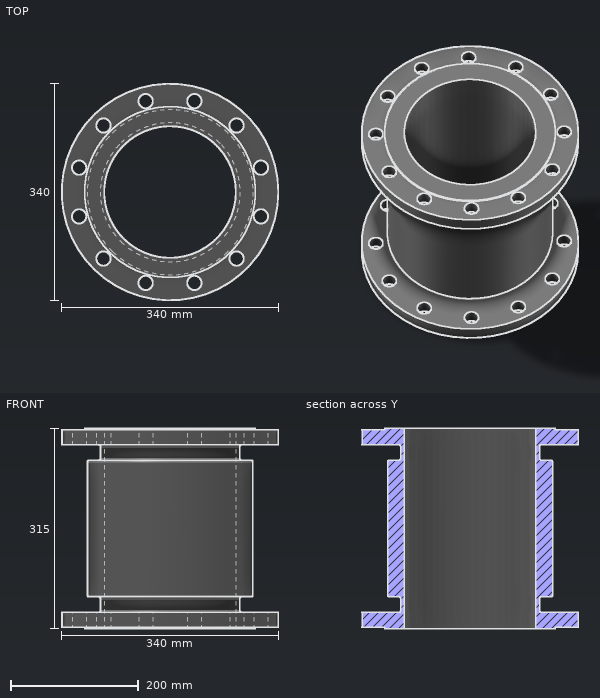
import cadquery as cq

total_length = 315.0
bore_diameter = 206.0

flange_diameter = 340.0
flange_thickness = 23.8
raised_face_diameter = 268.0
raised_face_height = 2.5

bolt_count = 12
bolt_circle_diameter = 295.0
bolt_hole_diameter = 22.0

neck_diameter = 219.0
body_diameter = 259.8
body_length = 214.5
fillet_radius = 2.7

bottom_z = -total_length / 2
lower_flange_z = bottom_z + raised_face_height
neck_z = lower_flange_z + flange_thickness
body_z = -body_length / 2


def cylinder(diameter, bottom, height):
    """Solid cylinder on the Z axis, standing on the level bottom."""
    return cq.Workplane("XY").workplane(offset=bottom).circle(diameter / 2).extrude(height)


def make_lower_flange():
    """Flange disc with its raised sealing face at the bottom end."""
    disc = cylinder(flange_diameter, lower_flange_z, flange_thickness)
    raised_face = cylinder(raised_face_diameter, bottom_z, raised_face_height)
    return disc.union(raised_face)


def make_bolt_holes():
    """Ring of bolt holes through both flanges, set half a pitch off the X axis."""
    half_pitch = 180 / bolt_count
    return (
        cq.Workplane("XY")
        .workplane(offset=bottom_z)
        .polarArray(bolt_circle_diameter / 2, half_pitch, 360, bolt_count)
        .circle(bolt_hole_diameter / 2)
        .extrude(total_length)
    )


body = cylinder(body_diameter, body_z, body_length)
neck = cylinder(neck_diameter, neck_z, -2 * neck_z)
lower_flange = make_lower_flange()
upper_flange = lower_flange.mirror("XY")
solid_spool = body.union(neck).union(lower_flange).union(upper_flange)

neck_edges = cq.selectors.RadiusNthSelector(0)
body_edges = cq.selectors.RadiusNthSelector(1)
filleted_spool = solid_spool.edges(neck_edges + body_edges).fillet(fillet_radius)

bore = cylinder(bore_diameter, bottom_z, total_length)
result = filleted_spool.cut(bore).cut(make_bolt_holes())